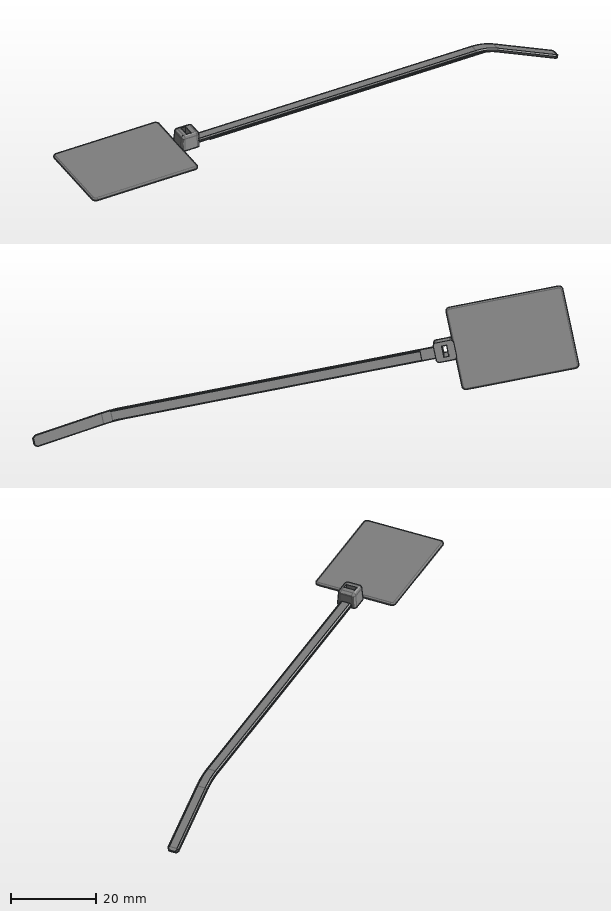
import cadquery as cq
import math

overall_length = 128.71
overall_height = 12.3

plate_width = 20.62
plate_length = 28.0
plate_thickness = 0.8
plate_corner_radius = 1.0
plate_edge_radius = 0.35

head_height = 3.9
head_base_width = 4.9
head_top_width = 4.3
head_back = 2.5
head_front_base = -2.4
head_front_top = -2.1
head_corner_radius = 0.75
head_top_radius = 0.7
slot_width = 2.75
slot_length = 1.2

strap_width = 2.75
strap_thickness = 0.8
strap_base = 0.4
strap_edge_run = 0.4
strap_edge_drop = 0.3
bend_radius = 13.0
bend_angle = math.radians(25)
rib_width = 2.3
rib_start_y = 5.8
tip_width = 1.5
tip_taper = 0.8
tip_bevel_drop = 0.2
tip_bevel_run = 0.8

plate_back = head_front_top
plate_front = plate_back - plate_length
tip_y = plate_front + overall_length
tip_z = head_height - overall_height
half_strap = strap_thickness / 2
strap_mid_z = strap_base + half_strap
path_end_y = tip_y - (half_strap - tip_bevel_drop) * math.sin(bend_angle)
path_end_z = tip_z + half_strap * math.cos(bend_angle)
bend_drop = bend_radius * (1 - math.cos(bend_angle))
tail_drop = strap_mid_z - path_end_z - bend_drop
tail_run = tail_drop / math.tan(bend_angle)
bend_end_y = path_end_y - tail_run
bend_start_y = bend_end_y - bend_radius * math.sin(bend_angle)

underside_radius = bend_radius - half_strap
underside_at_floor = underside_radius - strap_base
rib_end_y = bend_start_y + math.sqrt(underside_radius**2 - underside_at_floor**2)


def make_plate():
    """Thin label plate with rounded corners and rounded edges."""
    return (
        cq.Workplane("XY")
        .center(0, (plate_front + plate_back) / 2)
        .rect(plate_width, plate_length)
        .extrude(plate_thickness)
        .edges("|Z")
        .fillet(plate_corner_radius)
        .faces("<Z or >Z")
        .edges()
        .fillet(plate_edge_radius)
    )


def make_head():
    """Locking head with leaning sides and front, and rounded corners and top edges."""
    base_length = head_back - head_front_base
    top_length = head_back - head_front_top
    base_mid_y = (head_back + head_front_base) / 2
    top_mid_y = (head_back + head_front_top) / 2
    return (
        cq.Workplane("XY")
        .center(0, base_mid_y)
        .rect(head_base_width, base_length)
        .workplane(offset=head_height)
        .center(0, top_mid_y - base_mid_y)
        .rect(head_top_width, top_length)
        .loft(ruled=True)
        .edges("not(#Z)")
        .fillet(head_corner_radius)
        .faces(">Z")
        .edges()
        .fillet(head_top_radius)
    )


def make_slot():
    """Rectangular strap slot straight through the head."""
    return (
        cq.Workplane("XY")
        .rect(slot_width, slot_length)
        .extrude(head_height)
    )


def make_tip_bevel():
    """Wedge that slopes the upper face of the tail down toward its end."""
    tail_direction = (0, math.cos(bend_angle), -math.sin(bend_angle))
    tail_plane = cq.Plane(
        origin=(0, path_end_y, path_end_z),
        xDir=tail_direction,
        normal=(1, 0, 0),
    )
    return (
        cq.Workplane(tail_plane)
        .moveTo(-tip_bevel_run, half_strap)
        .lineTo(0, half_strap - tip_bevel_drop)
        .lineTo(0, half_strap)
        .close()
        .extrude(strap_width / 2, both=True)
    )


def make_strap():
    """Strap with sloped upper edges, a downward bend and a tapered, bevelled tip."""
    start_y = slot_length / 2
    half_bend = bend_angle / 2
    bend_mid = (
        bend_start_y + bend_radius * math.sin(half_bend),
        strap_mid_z - bend_radius * (1 - math.cos(half_bend)),
    )
    path = (
        cq.Workplane("YZ")
        .moveTo(start_y, strap_mid_z)
        .lineTo(bend_start_y, strap_mid_z)
        .threePointArc(bend_mid, (bend_end_y, strap_mid_z - bend_drop))
        .lineTo(path_end_y, path_end_z)
    )
    half_width = strap_width / 2
    section = [
        (-half_width, -half_strap),
        (half_width, -half_strap),
        (half_width, half_strap - strap_edge_drop),
        (half_width - strap_edge_run, half_strap),
        (-half_width + strap_edge_run, half_strap),
        (-half_width, half_strap - strap_edge_drop),
    ]
    band = (
        cq.Workplane("XZ", origin=(0, start_y, strap_mid_z))
        .polyline(section)
        .close()
        .sweep(path)
    )
    outline = [
        (-half_width, start_y),
        (half_width, start_y),
        (half_width, tip_y - tip_taper),
        (tip_width / 2, tip_y),
        (-tip_width / 2, tip_y),
        (-half_width, tip_y - tip_taper),
    ]
    tip_trim = (
        cq.Workplane("XY", origin=(0, 0, tip_z))
        .polyline(outline)
        .close()
        .extrude(overall_height)
    )
    return band.cut(make_tip_bevel()).intersect(tip_trim)


def make_rib():
    """Slightly narrower rib under the straight strap, running out where the bend dips to Z = 0."""
    return (
        cq.Workplane("XY")
        .center(0, (rib_start_y + rib_end_y) / 2)
        .rect(rib_width, rib_end_y - rib_start_y)
        .extrude(strap_base)
    )


body = make_plate().union(make_head()).union(make_strap()).union(make_rib())
result = body.cut(make_slot())